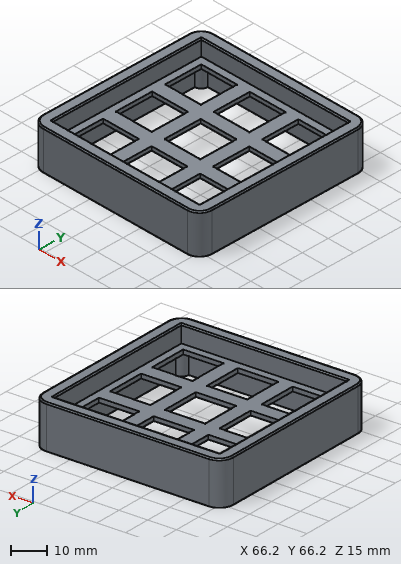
import cadquery as cq

side = 66.15
height = 15.0
corner_radius = 4.8
rim_chamfer = 0.45

opening = 57.55

plate_depth = 6.0
plate_thickness = 1.5
plate_bottom = height - plate_depth - plate_thickness
grid_count = 3
window = 14.0
window_pitch = 19.05

post_radius = 2.5


def make_frame():
    """Rounded square ring with both edges of its upper rim chamfered."""
    block = cq.Workplane("XY").rect(side, side).extrude(height)
    block = block.edges("|Z").fillet(corner_radius)
    cavity = cq.Workplane("XY").rect(opening, opening).extrude(height)
    return block.cut(cavity).faces(">Z").edges().chamfer(rim_chamfer)


def make_plate():
    """Plate that fills the opening, pierced by the window grid."""
    plate = cq.Workplane("XY", origin=(0, 0, plate_bottom)).rect(opening, opening).extrude(plate_thickness)
    windows = (
        cq.Workplane("XY", origin=(0, 0, plate_bottom))
        .rarray(window_pitch, window_pitch, grid_count, grid_count)
        .rect(window, window)
        .extrude(plate_thickness)
    )
    return plate.cut(windows)


def make_posts():
    """Round posts centred on the corners of the opening, from the base up to the plate."""
    return (
        cq.Workplane("XY")
        .rect(opening, opening, forConstruction=True)
        .vertices()
        .circle(post_radius)
        .extrude(plate_bottom)
    )


result = make_frame().union(make_plate()).union(make_posts())